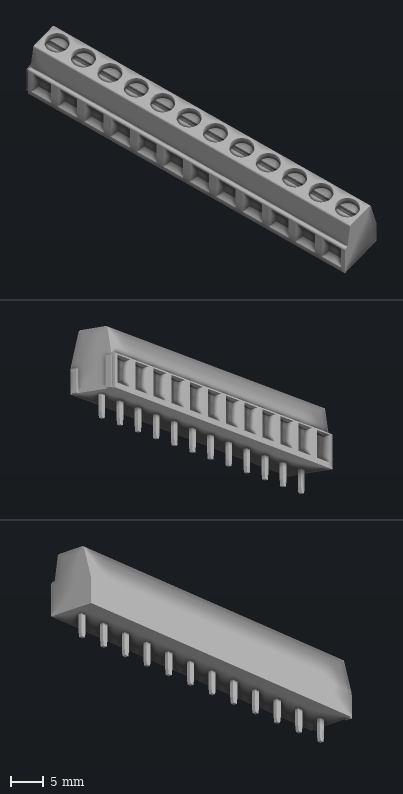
import cadquery as cq

POLE_COUNT = 12
PITCH = 5.08
LENGTH = POLE_COUNT * PITCH
HEIGHT = 10.0

BACK_Y = 4.1
FRONT_Y = -4.1
BACK_SLOPE_START_Z = 4.2
TOP_BACK_Y = 2.55
TOP_FRONT_Y = -2.7
STEP_Z = 5.7
STEP_INNER_Y = -3.4
EDGE_RADIUS = 0.35

ENTRY_WIDTH = 3.7
ENTRY_BOTTOM_Z = 0.9
ENTRY_TOP_Z = STEP_Z - EDGE_RADIUS
ENTRY_DEPTH = 1.15
THROAT_WIDTH = 2.7
THROAT_BOTTOM_Z = 1.45
THROAT_TOP_Z = 4.98
CLAMP_EDGE_Z = 3.5
CLAMP_OVERHANG = 0.2

WELL_DIAMETER = 3.9
SCREW_DIAMETER = 3.6
WELL_DEPTH = 1.6
SLOT_WIDTH = 0.9
HEAD_HEIGHT = 0.6

PIN_WIDTH = 1.0
PIN_THICKNESS = 0.6
PIN_LENGTH = 3.8
PIN_TIP_WIDTH = 0.7
PIN_TIP_LENGTH = 1.0

RAIL_THICKNESS = 0.5
RAIL_UNDERCUT = 0.2
BACK_RAIL_INNER_Y = 2.65
BACK_RAIL_OUTER_Y = 3.75
BACK_RAIL_HEIGHT = 3.9
FRONT_RAIL_INNER_Y = -2.7
FRONT_RAIL_OUTER_Y = -3.8
FRONT_RAIL_HEIGHT = 5.2


def make_housing():
    """Extrude the stepped, tapered cross-section and round its upper edges."""
    outline = [
        (FRONT_Y, 0),
        (BACK_Y, 0),
        (BACK_Y, BACK_SLOPE_START_Z),
        (TOP_BACK_Y, HEIGHT),
        (TOP_FRONT_Y, HEIGHT),
        (STEP_INNER_Y, STEP_Z),
        (FRONT_Y, STEP_Z),
    ]
    housing = cq.Workplane("YZ").polyline(outline).close().extrude(LENGTH)
    housing = housing.faces(">Z").edges("|X").fillet(EDGE_RADIUS)
    return housing.faces("<Y").edges(">Z").fillet(EDGE_RADIUS)


def make_rail(inner_y, outer_y, height):
    """Upright rail standing out from the X = 0 end face."""
    undercut = RAIL_UNDERCUT if outer_y > inner_y else -RAIL_UNDERCUT
    outline = [
        (0, inner_y),
        (-RAIL_THICKNESS, inner_y),
        (-RAIL_THICKNESS, outer_y),
        (0, outer_y - undercut),
    ]
    return cq.Workplane("XY").polyline(outline).close().extrude(height)


def make_entry(x):
    """Funnel-shaped wire entry whose back wall leans forward above the clamp edge."""
    throat_y = FRONT_Y + ENTRY_DEPTH
    mouth_height = ENTRY_TOP_Z - ENTRY_BOTTOM_Z
    throat_height = THROAT_TOP_Z - THROAT_BOTTOM_Z
    mouth_z = (ENTRY_TOP_Z + ENTRY_BOTTOM_Z) / 2
    throat_z = (THROAT_TOP_Z + THROAT_BOTTOM_Z) / 2
    funnel = (
        cq.Workplane("XZ", origin=(x, FRONT_Y, mouth_z))
        .rect(ENTRY_WIDTH, mouth_height)
        .workplane(offset=-ENTRY_DEPTH)
        .center(0, throat_z - mouth_z)
        .rect(THROAT_WIDTH, throat_height)
        .loft(ruled=True)
    )
    clamp = (
        cq.Workplane("YZ", origin=(x - ENTRY_WIDTH / 2, 0, 0))
        .moveTo(throat_y, CLAMP_EDGE_Z)
        .lineTo(throat_y - CLAMP_OVERHANG, THROAT_TOP_Z)
        .lineTo(throat_y - CLAMP_OVERHANG, ENTRY_TOP_Z)
        .lineTo(throat_y, ENTRY_TOP_Z)
        .close()
        .extrude(ENTRY_WIDTH)
    )
    return funnel.cut(clamp)


def make_screw_well(x):
    """Round well with the slotted screw head standing on its floor."""
    well = cq.Workplane("XY", origin=(x, 0, HEIGHT)).circle(WELL_DIAMETER / 2).extrude(-WELL_DEPTH)
    floor = cq.Workplane("XY", origin=(x, 0, HEIGHT - WELL_DEPTH))
    head = floor.circle(SCREW_DIAMETER / 2).extrude(HEAD_HEIGHT)
    slot = floor.rect(WELL_DIAMETER, SLOT_WIDTH).extrude(HEAD_HEIGHT)
    return well.cut(head.cut(slot))


def make_pin(x):
    """Flat solder pin narrowing in width towards its tip."""
    outline = [
        (-PIN_WIDTH / 2, 0),
        (-PIN_WIDTH / 2, PIN_TIP_LENGTH - PIN_LENGTH),
        (-PIN_TIP_WIDTH / 2, -PIN_LENGTH),
        (PIN_TIP_WIDTH / 2, -PIN_LENGTH),
        (PIN_WIDTH / 2, PIN_TIP_LENGTH - PIN_LENGTH),
        (PIN_WIDTH / 2, 0),
    ]
    plane = cq.Workplane("XZ", origin=(x, 0, 0))
    return plane.polyline(outline).close().extrude(PIN_THICKNESS / 2, both=True)


result = make_housing()
result = result.union(make_rail(BACK_RAIL_INNER_Y, BACK_RAIL_OUTER_Y, BACK_RAIL_HEIGHT))
result = result.union(make_rail(FRONT_RAIL_INNER_Y, FRONT_RAIL_OUTER_Y, FRONT_RAIL_HEIGHT))
for pole in range(POLE_COUNT):
    pole_x = (pole + 0.5) * PITCH
    result = result.cut(make_entry(pole_x))
    result = result.cut(make_screw_well(pole_x))
    result = result.union(make_pin(pole_x))